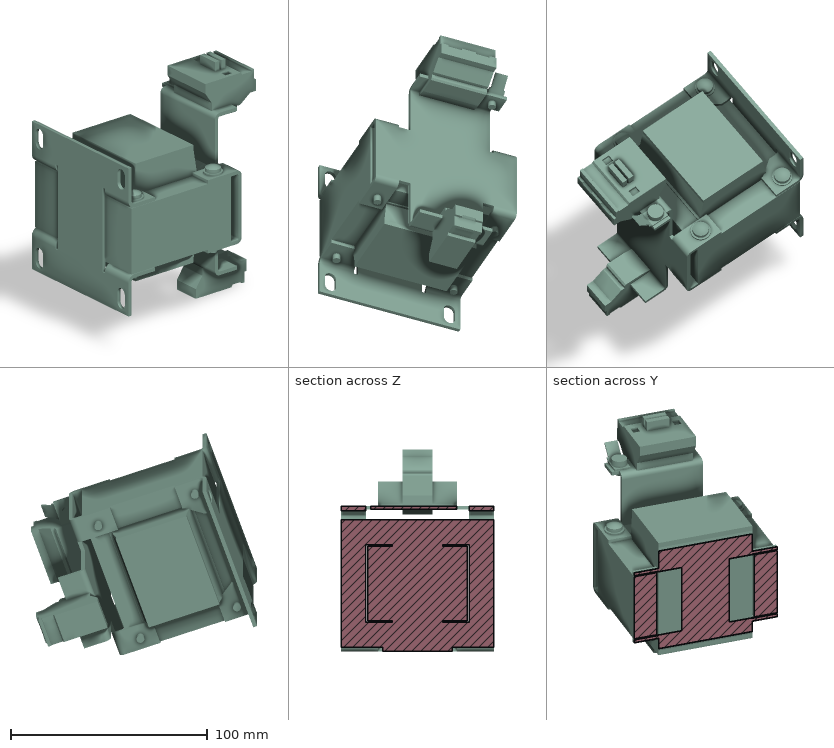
import cadquery as cq
import math


WIDTH = 78.0
LIMB = WIDTH / 6
SIDE_LIMB = 12.7
CORE_DEPTH = 5 * LIMB
CORE_HALF_HEIGHT = 18.25
SHEET = 2.0
FLANGE_TOP = CORE_HALF_HEIGHT + SHEET
CORE_FRONT = SHEET
CORE_BACK = CORE_FRONT + CORE_DEPTH
WINDOW_OUTER = WIDTH / 2 - SIDE_LIMB

OVERLAP = 0.5

COIL_WIDTH = 51.0
COIL_CENTRE_Y = CORE_FRONT + CORE_DEPTH / 2
COIL_END_DEPTH = 38.0
COIL_FOOT_DEPTH = 42.4
COIL_TOP = 34.9
COIL_BOTTOM = -30.3
COIL_STRAIGHT_END = 2.7
BOBBIN_DEPTH = 45.0
BOBBIN_HALF_HEIGHT = CORE_HALF_HEIGHT + 0.75

PLATE_HEIGHT = 82.0
SLOT_WIDTH = 6.0
SLOT_LENGTH = 11.2
SLOT_OFFSET = 33.0
FRONT_BEND = 4.0
FRONT_FLANGE_BOTTOM = CORE_HALF_HEIGHT + 0.25
FRONT_FLANGE_END = 17.2
FRONT_FLANGE_INNER = 20.0
FRONT_TAPER_START = 7.3
FRONT_TAPER_END = 16.2
CUTOUT_INNER = 17.8
CUTOUT_HALF_HEIGHT = 23.4

REAR_FACE = 74.0
REAR_FRONT = REAR_FACE - SHEET
REAR_BEND = 3.0
REAR_FLANGE_END = 52.0
STRIP_HALF_WIDTH = 20.1
STRIP_LEFT_UPPER = 24.0
SHELF_TOP = 45.0
SHELF_END = 86.4
EARTH_EAR_LEFT = 28.0
EARTH_EAR_FRONT = 76.2

SCREW_X = WIDTH / 2 - LIMB / 2
SCREW_ROWS = (CORE_FRONT + LIMB / 2, CORE_BACK - LIMB / 2)
SCREW_RADIUS = 2.0
SCREW_END = -23.7
WASHER_RADIUS = 5.1
WASHER_THICKNESS = 1.0
HEAD_RADIUS = 4.1
HEAD_RIM = 1.9
HEAD_DOME = 1.3

BLOCK_PITCH = 15.3
BLOCK_TOP = 60.8
ENTRY_WIDTH = 7.5
ENTRY_LEDGE_FRONT = 101.4
BLOCK_BACK = 102.7
ENTRY_LEDGE = 54.4
ENTRY_DROP = 1.0
RIB_WIDTH = 12.2
RIB_TOP = 66.0
RIB_SPANS = ((83.4, 86.2), (87.5, 90.2))
TEST_HOLE_X = 11.25
TEST_HOLE_Y = 86.8
TEST_HOLE_WIDTH = 3.7
TEST_HOLE_DEPTH_Y = 4.5
POCKET_DEPTH = 1.5
LINK_SLOT_X = 3.75
LINK_SLOT_WIDTH = 3.5

EARTH_X = -22.0
EARTH_Y = 81.3
EARTH_HEAD_RADIUS = 4.0
TAG_THICKNESS = 1.0
TAG_WIDTH = 8.5
TAG_FRONT = 76.5
TONGUE_ANGLE = 45.0
TONGUE_WIDTH = 6.9
TONGUE_LENGTH = 9.8
TONGUE_SHOULDER = 1.9
TONGUE_THICKNESS = 0.8
EARTH_HEAD_TOP = 49.4
EARTH_SCREW_END = 40.1


def box(x0, x1, y0, y1, z0, z1):
    """Box between opposite corners."""
    return cq.Workplane("XY").box(x1 - x0, y1 - y0, z1 - z0, centered=False).translate((x0, y0, z0))


def cylinder(x, y, z0, z1, radius):
    """Vertical cylinder from z0 to z1."""
    return cq.Workplane("XY", origin=(x, y, z0)).circle(radius).extrude(z1 - z0)


def side_prism(points, x0, x1):
    """Prism along X with a (y, z) outline."""
    return cq.Workplane("YZ", origin=(x0, 0, 0)).polyline(points).close().extrude(x1 - x0)


def bend(y_axis, z_axis, radius, y_side, z_side, x0, x1):
    """Quarter-ring sheet bend along X, on the given sides of its axis."""
    inner = radius - SHEET
    diagonal = math.sqrt(0.5)
    return (
        cq.Workplane("YZ", origin=(x0, 0, 0))
        .moveTo(y_axis + y_side * inner, z_axis)
        .lineTo(y_axis + y_side * radius, z_axis)
        .threePointArc(
            (y_axis + y_side * radius * diagonal, z_axis + z_side * radius * diagonal),
            (y_axis, z_axis + z_side * radius),
        )
        .lineTo(y_axis, z_axis + z_side * inner)
        .threePointArc(
            (y_axis + y_side * inner * diagonal, z_axis + z_side * inner * diagonal),
            (y_axis + y_side * inner, z_axis),
        )
        .close()
        .extrude(x1 - x0)
    )


def mirrored_z(body):
    return body.mirror("XY")


def mirrored_x(body):
    return body.mirror("YZ")


def make_core():
    height = CORE_HALF_HEIGHT
    core = box(-WIDTH / 2, WIDTH / 2, CORE_FRONT, CORE_BACK, -height, height)
    window = box(LIMB, WINDOW_OUTER, CORE_FRONT + LIMB, CORE_BACK - LIMB, -height, height)
    return core.cut(window).cut(mirrored_x(window))


def make_coil():
    half_end = COIL_END_DEPTH / 2
    half_foot = COIL_FOOT_DEPTH / 2
    half_bobbin = BOBBIN_DEPTH / 2
    half_width = COIL_WIDTH / 2
    mid = COIL_CENTRE_Y
    coil = box(-half_width, half_width, mid - half_end, mid + half_end, COIL_BOTTOM, COIL_TOP)
    tapers = (
        (BOBBIN_HALF_HEIGHT, COIL_TOP - COIL_STRAIGHT_END),
        (-BOBBIN_HALF_HEIGHT, COIL_BOTTOM + COIL_STRAIGHT_END),
    )
    for foot, shoulder in tapers:
        outline = [
            (mid - half_foot, foot),
            (mid + half_foot, foot),
            (mid + half_end, shoulder),
            (mid - half_end, shoulder),
        ]
        coil = coil.union(side_prism(outline, -half_width, half_width))
    ledge = box(
        -half_width, half_width, mid - half_bobbin, mid + half_bobbin,
        CORE_HALF_HEIGHT, BOBBIN_HALF_HEIGHT,
    )
    return coil.union(ledge).union(mirrored_z(ledge))


def make_front_flange():
    """Upper right flange with its tapered inner edge and the bend to the plate."""
    outer = WIDTH / 2
    flange = (
        cq.Workplane("XY", origin=(0, 0, FRONT_FLANGE_BOTTOM))
        .polyline([
            (outer, FRONT_BEND),
            (outer, FRONT_FLANGE_END),
            (WINDOW_OUTER, FRONT_FLANGE_END),
            (WINDOW_OUTER, FRONT_TAPER_END),
            (FRONT_FLANGE_INNER, FRONT_TAPER_START),
            (FRONT_FLANGE_INNER, FRONT_BEND),
        ])
        .close()
        .extrude(SHEET)
    )
    bend_axis_z = FRONT_FLANGE_BOTTOM + FRONT_BEND
    corner = bend(FRONT_BEND, bend_axis_z, FRONT_BEND, -1, -1, FRONT_FLANGE_INNER, outer)
    web = box(FRONT_FLANGE_INNER, outer, 0, SHEET, bend_axis_z, CUTOUT_HALF_HEIGHT)
    return flange.union(corner).union(web)


def make_front_plate():
    half_width = WIDTH / 2
    plate = box(-half_width, half_width, 0, SHEET, -PLATE_HEIGHT / 2, PLATE_HEIGHT / 2)
    cutout = box(CUTOUT_INNER, half_width, 0, SHEET, -CUTOUT_HALF_HEIGHT, CUTOUT_HALF_HEIGHT)
    slots = (
        cq.Workplane("XZ")
        .rect(2 * SLOT_OFFSET, 2 * SLOT_OFFSET, forConstruction=True)
        .vertices()
        .slot2D(SLOT_LENGTH, SLOT_WIDTH, 90)
        .extrude(-SHEET)
    )
    plate = plate.cut(cutout).cut(mirrored_x(cutout)).cut(slots)
    upper_right = make_front_flange()
    upper_pair = upper_right.union(mirrored_x(upper_right))
    return plate.union(upper_pair).union(mirrored_z(upper_pair))


def make_upper_strip(left):
    """Strip rising from the rear plate and bent back into a terminal shelf."""
    axis_y = REAR_FRONT + REAR_BEND
    axis_z = SHELF_TOP - REAR_BEND
    right = STRIP_HALF_WIDTH
    strip = box(-left, right, REAR_FRONT, REAR_FACE, 0, axis_z)
    corner = bend(axis_y, axis_z, REAR_BEND, -1, 1, -left, right)
    shelf = box(-left, right, axis_y, SHELF_END, SHELF_TOP - SHEET, SHELF_TOP)
    return strip.union(corner).union(shelf)


def make_rear_bracket():
    half_width = WIDTH / 2
    axis_z = FLANGE_TOP - REAR_BEND
    axis_y = REAR_FACE - REAR_BEND
    bracket = box(-half_width, half_width, REAR_FRONT, REAR_FACE, -axis_z, axis_z)
    leg = box(WINDOW_OUTER, half_width, REAR_FLANGE_END, axis_y, CORE_HALF_HEIGHT, FLANGE_TOP)
    leg = leg.union(bend(axis_y, axis_z, REAR_BEND, 1, 1, WINDOW_OUTER, half_width))
    pair = leg.union(mirrored_x(leg))
    bracket = bracket.union(pair).union(mirrored_z(pair))
    bracket = bracket.union(make_upper_strip(STRIP_LEFT_UPPER))
    bracket = bracket.union(mirrored_z(make_upper_strip(STRIP_HALF_WIDTH)))
    ear = box(
        -EARTH_EAR_LEFT, -STRIP_LEFT_UPPER, EARTH_EAR_FRONT, SHELF_END,
        SHELF_TOP - SHEET, SHELF_TOP,
    )
    return bracket.union(ear)


def make_clamp_screw(x, y):
    """Domed screw with washer, passing through the core and both brackets."""
    washer_top = FLANGE_TOP + WASHER_THICKNESS
    rim_top = washer_top + HEAD_RIM
    sphere_radius = (HEAD_RADIUS**2 + HEAD_DOME**2) / (2 * HEAD_DOME)
    half_angle = math.asin(HEAD_RADIUS / sphere_radius) / 2
    dome_mid = (
        sphere_radius * math.sin(half_angle),
        rim_top + HEAD_DOME - sphere_radius * (1 - math.cos(half_angle)),
    )
    return (
        cq.Workplane("XZ")
        .moveTo(0, SCREW_END)
        .lineTo(SCREW_RADIUS, SCREW_END)
        .lineTo(SCREW_RADIUS, FLANGE_TOP)
        .lineTo(WASHER_RADIUS, FLANGE_TOP)
        .lineTo(WASHER_RADIUS, washer_top)
        .lineTo(HEAD_RADIUS, washer_top)
        .lineTo(HEAD_RADIUS, rim_top)
        .threePointArc(dome_mid, (0, rim_top + HEAD_DOME))
        .close()
        .revolve(360, (0, 0, 0), (0, 1, 0))
        .translate((x, y, 0))
    )


def make_terminal(x_centre):
    """One upper terminal module, with a sloped wire entry in its rear ledge."""
    outline = [
        (69.5, BLOCK_TOP),
        (69.5, 55.4),
        (73.7, 49.1),
        (73.7, 41.5),
        (79.1, 40.4),
        (89.4, 40.1),
        (90.3, 41.0),
        (90.3, 43.1),
        (92.3, 43.1),
        (98.8, 48.0),
        (BLOCK_BACK, 48.0),
        (BLOCK_BACK, ENTRY_LEDGE),
        (ENTRY_LEDGE_FRONT, ENTRY_LEDGE),
        (ENTRY_LEDGE_FRONT, 60.4),
        (99.6, 60.4),
        (99.6, 59.5),
        (93.6, 59.5),
        (92.8, BLOCK_TOP),
    ]
    entry = [
        (ENTRY_LEDGE_FRONT, ENTRY_LEDGE),
        (BLOCK_BACK, ENTRY_LEDGE),
        (BLOCK_BACK, ENTRY_LEDGE - ENTRY_DROP),
    ]
    half_pitch = BLOCK_PITCH / 2
    half_entry = ENTRY_WIDTH / 2
    block = side_prism(outline, x_centre - half_pitch, x_centre + half_pitch)
    return block.cut(side_prism(entry, x_centre - half_entry, x_centre + half_entry))


def make_upper_terminals():
    terminals = make_terminal(-BLOCK_PITCH / 2).union(make_terminal(BLOCK_PITCH / 2))
    for y0, y1 in RIB_SPANS:
        rib = box(-RIB_WIDTH / 2, RIB_WIDTH / 2, y0, y1, BLOCK_TOP - OVERLAP, RIB_TOP)
        terminals = terminals.union(rib)
    gap_front = RIB_SPANS[0][1]
    gap_back = RIB_SPANS[1][0]
    pockets = (
        (TEST_HOLE_X, TEST_HOLE_WIDTH, TEST_HOLE_Y, TEST_HOLE_DEPTH_Y),
        (LINK_SLOT_X, LINK_SLOT_WIDTH, (gap_front + gap_back) / 2, gap_back - gap_front),
    )
    for x, width, y, depth in pockets:
        pocket = box(
            x - width / 2, x + width / 2, y - depth / 2, y + depth / 2,
            BLOCK_TOP - POCKET_DEPTH, BLOCK_TOP,
        )
        terminals = terminals.cut(pocket).cut(mirrored_x(pocket))
    return terminals


def make_earth_terminal():
    """Tag with an inclined tongue, held on the bracket ear by a screw."""
    tag_top = SHELF_TOP + TAG_THICKNESS
    half_tag = TAG_WIDTH / 2
    half_tongue = TONGUE_WIDTH / 2
    tag = box(EARTH_X - half_tag, EARTH_X + half_tag, TAG_FRONT, SHELF_END, SHELF_TOP, tag_top)
    shoulder = box(-half_tag, half_tag, -OVERLAP, TONGUE_SHOULDER, -TONGUE_THICKNESS, 0)
    tongue = box(-half_tongue, half_tongue, 0, TONGUE_LENGTH, -TONGUE_THICKNESS, 0)
    tongue = (
        tongue.union(shoulder)
        .rotate((0, 0, 0), (1, 0, 0), TONGUE_ANGLE)
        .translate((EARTH_X, SHELF_END, tag_top))
    )
    shank = cylinder(EARTH_X, EARTH_Y, EARTH_SCREW_END, tag_top, SCREW_RADIUS)
    head = cylinder(EARTH_X, EARTH_Y, tag_top, EARTH_HEAD_TOP, EARTH_HEAD_RADIUS)
    return tag.union(tongue).union(shank).union(head)


result = make_core().union(make_coil()).union(make_front_plate()).union(make_rear_bracket())
for screw_y in SCREW_ROWS:
    for screw_x in (-SCREW_X, SCREW_X):
        result = result.union(make_clamp_screw(screw_x, screw_y))
result = result.union(make_upper_terminals())
result = result.union(mirrored_z(make_terminal(0)))
result = result.union(make_earth_terminal())